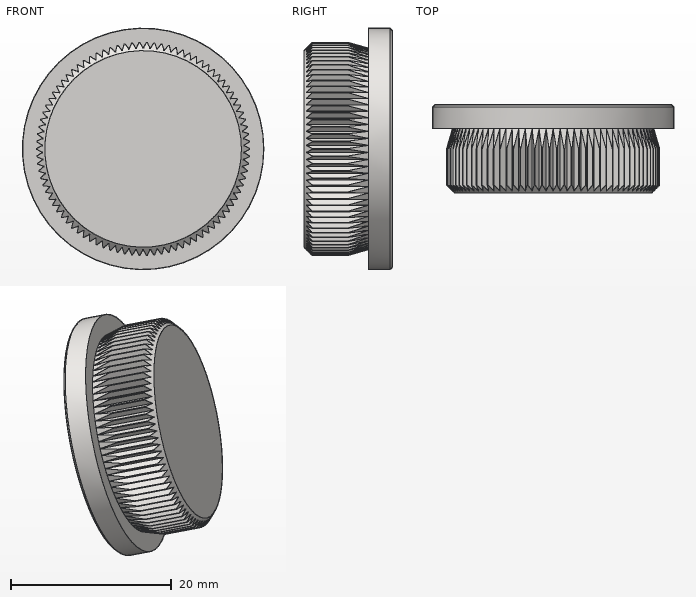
import cadquery as cq
import math

flange_diameter = 30.0
flange_thickness = 3.0
rim_chamfer = 0.3

plug_length = 8.0
tip_radius = 13.23
tooth_count = 90
tooth_depth = 0.72
groove_angle = 60.0
neck_length = 2.5
nose_chamfer = 1.02

root_radius = tip_radius - tooth_depth
tooth_pitch = 360.0 / tooth_count

flange_front = -flange_thickness
plug_front = flange_front - plug_length


def polar_point(radius, angle):
    """Point at an angle in degrees, measured from +X in the XZ plane."""
    return radius * math.cos(math.radians(angle)), radius * math.sin(math.radians(angle))


def make_flange():
    disc = cq.Workplane("XZ").circle(flange_diameter / 2).extrude(flange_thickness)
    return disc.faces(">Y").edges().chamfer(rim_chamfer)


def make_plug_blank():
    """Turned body: the neck tapers down to the tooth roots where it meets the flange."""
    outline = [
        (0, flange_front),
        (root_radius, flange_front),
        (tip_radius, flange_front - neck_length),
        (tip_radius, plug_front + nose_chamfer),
        (tip_radius - nose_chamfer, plug_front),
        (0, plug_front),
    ]
    return cq.Workplane("XY").polyline(outline).close().revolve(360, (0, 0, 0), (0, 1, 0))


def make_toothed_bar():
    """Straight star-shaped bar whose sharp peaks reach just past the turned tips."""
    half_pitch = tooth_pitch / 2
    half_groove_angle = groove_angle / 2
    flank_angle = math.radians(half_groove_angle - half_pitch)
    peak_radius = root_radius * math.sin(math.radians(half_groove_angle)) / math.sin(flank_angle)
    outline = []
    for tooth in range(tooth_count):
        middle = tooth * tooth_pitch
        outline.append(polar_point(peak_radius, middle))
        outline.append(polar_point(root_radius, middle + half_pitch))
    bar = cq.Workplane("XZ", origin=(0, flange_front, 0))
    return bar.polyline(outline).close().extrude(plug_length)


plug = make_plug_blank().intersect(make_toothed_bar())
result = make_flange().union(plug)